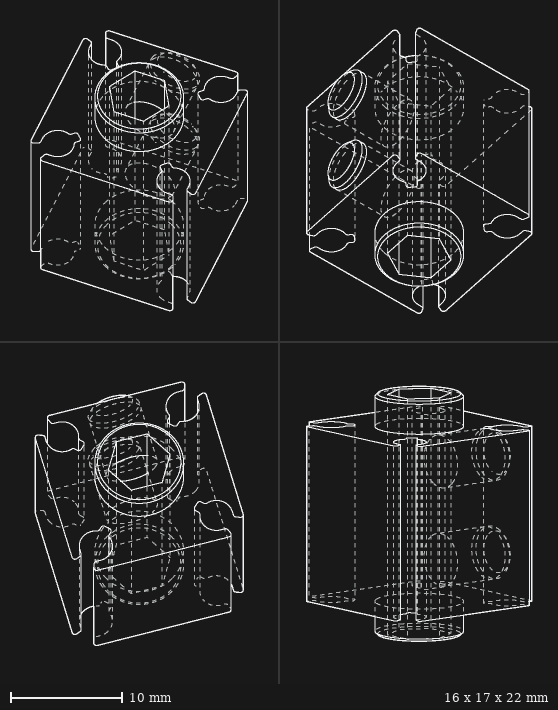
import cadquery as cq
import math

block_side = 16.0
block_height = 16.0
half_side = block_side / 2
half_height = block_height / 2

overall_height = 21.99
boss_diameter = 8.0
boss_chamfer = 0.25
hex_across_flats = 5.0

channel_radius = 1.49
lip_thickness = 0.88
channel_center = lip_thickness + channel_radius
lip_reach = 1.82
lip_angle = 22.5
lip_tip = lip_reach - lip_thickness * math.tan(math.radians(lip_angle))
lip_outer_fillet = 0.27
lip_inner_fillet = 0.25

notch_width = 1.0
notch_end = 5.45
notch_fillet = 0.25

screw_diameter = 4.8
screw_chamfer = 0.5
screw_spacing = 9.0
screw_protrusion = 1.0
screw_tip_y = hex_across_flats / 2
screw_length = half_side + screw_protrusion - screw_tip_y


def make_channel_cutter():
    """Cutter for the channel of the (-X, -Y) corner."""
    reach = half_side - lip_reach
    tip = half_side - lip_tip
    inner = half_side - lip_thickness
    center = half_side - channel_center

    mouth_points = [
        (-half_side, -half_side),
        (-tip, -half_side),
        (-reach, -inner),
        (-center, -inner),
        (-center, -center),
        (-inner, -center),
        (-inner, -reach),
        (-half_side, -tip),
    ]
    mouth = cq.Workplane("XY").polyline(mouth_points).close().extrude(half_height, both=True)
    return mouth.union(make_notched_bore())


def make_notched_bore():
    """Round part of the channel with its notch, joined by fillets."""
    bore_distance = (half_side - channel_center) * math.sqrt(2)
    notch_length = notch_end - channel_center * math.sqrt(2)
    bore = cq.Workplane("XY").cylinder(block_height, channel_radius)
    notch = (
        cq.Workplane("XY")
        .box(notch_length, notch_width, block_height, centered=(False, True, True))
        .edges("|Z and >X")
        .fillet(notch_fillet)
    )
    cutter = bore.union(notch)

    root_x = math.sqrt(channel_radius**2 - (notch_width / 2) ** 2)
    for root_y in (-notch_width / 2, notch_width / 2):
        root_edge = cq.selectors.NearestToPointSelector((root_x, root_y, 0))
        cutter = cutter.edges("|Z").edges(root_edge).fillet(notch_fillet)
    return cutter.translate((-bore_distance, 0, 0)).rotate((0, 0, 0), (0, 0, 1), 45)


def fillet_lips(body):
    """Round the outer and inner edges of the eight channel lips."""
    for from_corner_u, from_corner_v, radius in (
        (lip_tip, 0, lip_outer_fillet),
        (lip_reach, lip_thickness, lip_inner_fillet),
    ):
        near = half_side - from_corner_u
        far = half_side - from_corner_v
        for sign_x in (-1, 1):
            for sign_y in (-1, 1):
                for x, y in ((near, far), (far, near)):
                    edge = cq.selectors.NearestToPointSelector((sign_x * x, sign_y * y, 0))
                    body = body.edges("|Z").edges(edge).fillet(radius)
    return body


def make_screws():
    """Two plain set screws, chamfered at the outer end, lying along Y."""
    return (
        cq.Workplane("XZ", origin=(0, screw_tip_y, 0))
        .rarray(1, screw_spacing, 1, 2)
        .circle(screw_diameter / 2)
        .extrude(-screw_length)
        .faces(">Y")
        .chamfer(screw_chamfer)
    )


def make_block(screws):
    """Channelled block with end bosses, hexagonal bore and screw holes."""
    body = cq.Workplane("XY").box(block_side, block_side, block_height)
    cutter = make_channel_cutter()
    for turn in range(4):
        body = body.cut(cutter.rotate((0, 0, 0), (0, 0, 1), 90 * turn))
    body = fillet_lips(body)

    bosses = (
        cq.Workplane("XY")
        .circle(boss_diameter / 2)
        .extrude(overall_height / 2, both=True)
        .faces("<Z or >Z")
        .chamfer(boss_chamfer)
    )
    hex_corner_diameter = hex_across_flats / math.cos(math.radians(30))
    hex_bore = (
        cq.Workplane("XY")
        .polygon(6, hex_corner_diameter)
        .extrude(overall_height / 2, both=True)
    )
    return body.union(bosses).cut(hex_bore).cut(screws)


set_screws = make_screws()
block = make_block(set_screws)

result = cq.Compound.makeCompound([block.val(), *set_screws.vals()])